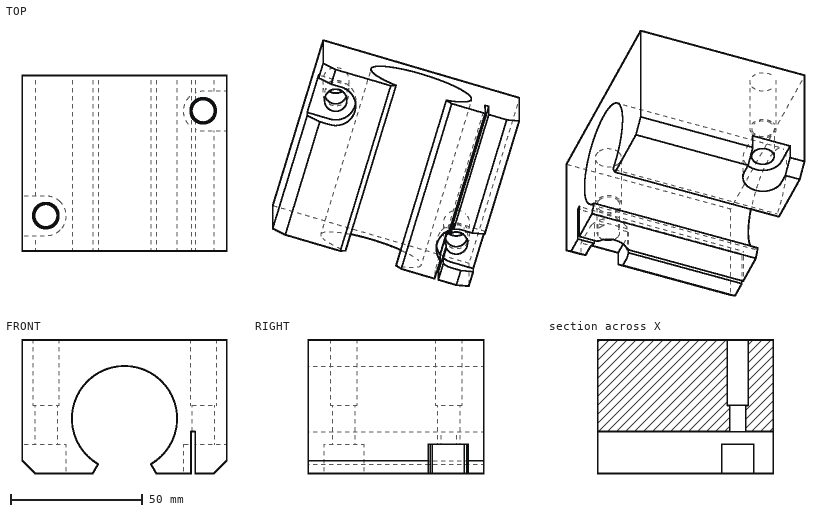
import cadquery as cq
import math

length = 78.0
width = 67.0
height = 51.0
bottom_chamfer = 5.0

bore_diameter = 40.0
bore_height = 21.0
opening_half_angle = math.radians(30)

slot_x = 26.1
slot_width = 1.5
slot_depth = 16.0

hole_x = 29.95
hole_y = 20.0
hole_diameter = 8.6
upper_hole_diameter = 10.0
upper_hole_depth = 24.95

pocket_diameter = 15.2
pocket_depth = 11.15


def make_block():
    block = cq.Workplane("XY").box(length, width, height, centered=(True, True, False))
    return block.faces("<Z").edges("|Y").chamfer(bottom_chamfer)


def make_bore():
    bore = (
        cq.Workplane("XZ")
        .center(0, bore_height)
        .circle(bore_diameter / 2)
        .extrude(width / 2, both=True)
    )
    opening_half_width = bore_height * math.tan(opening_half_angle)
    wedge = (
        cq.Workplane("XZ")
        .polyline([(0, bore_height), (-opening_half_width, 0), (opening_half_width, 0)])
        .close()
        .extrude(width / 2, both=True)
    )
    return bore.union(wedge)


def make_slot():
    slot = cq.Workplane("XY").box(slot_width, width, slot_depth, centered=(True, True, False))
    return slot.translate((slot_x, 0, 0))


def make_mounting_hole(side):
    """Stepped hole and side pocket; side is -1 for the -X, -Y corner, +1 for the +X, +Y corner."""
    x = side * hole_x
    y = side * hole_y
    edge_distance = length / 2 - hole_x
    hole = cq.Workplane("XY").center(x, y).circle(hole_diameter / 2).extrude(height)
    upper_hole = (
        cq.Workplane("XY", origin=(x, y, height))
        .circle(upper_hole_diameter / 2)
        .extrude(-upper_hole_depth)
    )
    pocket_end = cq.Workplane("XY").center(x, y).circle(pocket_diameter / 2).extrude(pocket_depth)
    pocket_mouth = (
        cq.Workplane("XY")
        .center(x + side * edge_distance / 2, y)
        .rect(edge_distance, pocket_diameter)
        .extrude(pocket_depth)
    )
    return hole.union(upper_hole).union(pocket_end).union(pocket_mouth)


result = make_block().cut(make_bore()).cut(make_slot())
for corner_side in (-1, 1):
    result = result.cut(make_mounting_hole(corner_side))